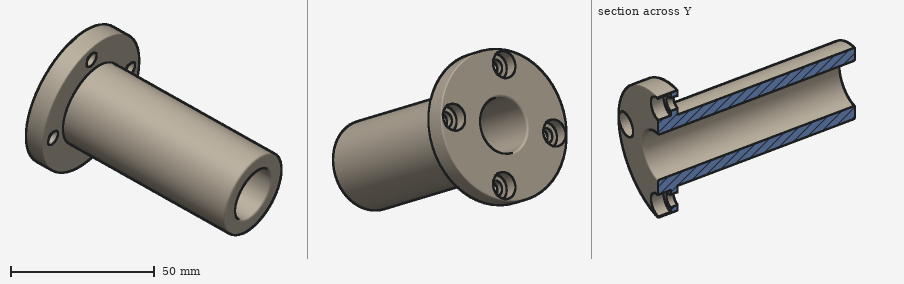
import cadquery as cq

total_length = 80.0
flange_diameter = 54.0
flange_thickness = 8.0
barrel_diameter = 32.0
bore_diameter = 20.0

screw_count = 4
screw_circle_diameter = 43.0
screw_hole_diameter = 5.5
counterbore_diameter = 9.5
counterbore_depth = 5.1

flange_fillet = 0.5
barrel_fillet = 0.8
bore_fillet = 0.8


def disc(diameter, length, rounded_faces, edge_radius):
    """Cylinder along +X from X = 0 with the outer edges of the chosen faces rounded."""
    body = cq.Workplane("YZ").circle(diameter / 2).extrude(length)
    return body.faces(rounded_faces).edges().fillet(edge_radius)


def add_bore(body):
    """Through bore with both mouths rounded."""
    bored = body.faces("<X").workplane(origin=(0, 0, 0)).hole(bore_diameter)
    mouths = bored.faces("<X or >X").edges(cq.selectors.RadiusNthSelector(0))
    return mouths.fillet(bore_fillet)


def add_screw_holes(body):
    """Screw holes through the flange, counterbored from the flange face."""
    return (
        body.faces("<X")
        .workplane(origin=(0, 0, 0))
        .polarArray(screw_circle_diameter / 2, 0, 360, screw_count)
        .cboreHole(screw_hole_diameter, counterbore_diameter, counterbore_depth, flange_thickness)
    )


flange = disc(flange_diameter, flange_thickness, "<X or >X", flange_fillet)
barrel = disc(barrel_diameter, total_length, ">X", barrel_fillet)
result = add_screw_holes(add_bore(flange.union(barrel)))